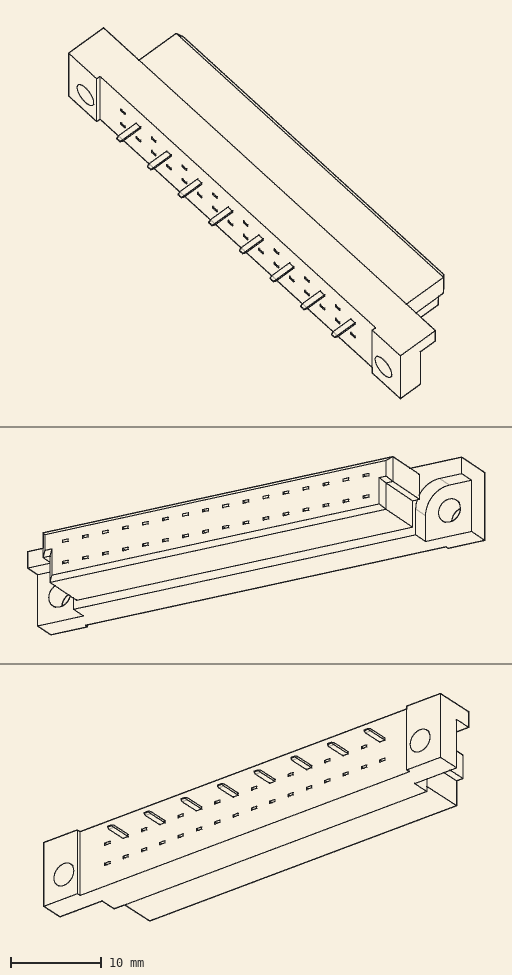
import cadquery as cq


LENGTH = 55.0
HEIGHT = 8.1
FLANGE_DEPTH = 5.15
PAD_LENGTH = 4.7
PAD_STEP = 0.5

HOLE_DIAMETER = 2.75
HOLE_INSET = 2.8
HOLE_HEIGHT = 3.1
NOTCH_RADIUS = 3.0
NOTCH_DEPTH = 2.2

PLUG_LENGTH = 44.35
PLUG_DEPTH = 6.5
PLUG_BOTTOM = 1.0
PLUG_TOP = HEIGHT - PLUG_BOTTOM
SHOULDER_HEIGHT = 4.1
SHOULDER_STEP = 0.9
PLUG_CHAMFER = 0.55

COLUMNS = 16
GRID_LENGTH = 38.1
PITCH = GRID_LENGTH / (COLUMNS - 1)
CONTACT_WIDTH = 0.7
CONTACT_THICKNESS = 0.3

PIN_PROJECTION = 2.9
PIN_TIP_LENGTH = 0.35
PIN_TIP_INSET = 0.08

MID_X = LENGTH / 2
PLUG_BACK = FLANGE_DEPTH + PLUG_DEPTH
LOWER_ROW = HEIGHT / 2 - PITCH / 2
UPPER_ROW = HEIGHT / 2 + PITCH / 2
FIRST_COLUMN = MID_X - GRID_LENGTH / 2
COLUMN_XS = [FIRST_COLUMN + i * PITCH for i in range(COLUMNS)]
PIN_XS = COLUMN_XS[1::2]


def box(x0, x1, y0, y1, z0, z1):
    """Box between opposite corners."""
    return cq.Workplane("XY").box(x1 - x0, y1 - y0, z1 - z0, centered=False).translate((x0, y0, z0))


def make_flange():
    """Bar with its front face set back between the end pads."""
    bar = box(0, LENGTH, 0, FLANGE_DEPTH, 0, HEIGHT)
    relief = box(PAD_LENGTH, LENGTH - PAD_LENGTH, 0, PAD_STEP, 0, HEIGHT)
    return bar.cut(relief)


def make_notch():
    """Notch at the left end: open to the end, the back and the underside, with a round inner corner."""
    wall_x = HOLE_INSET + NOTCH_RADIUS
    roof_z = HOLE_HEIGHT + NOTCH_RADIUS
    notch = box(0, wall_x, FLANGE_DEPTH - NOTCH_DEPTH, FLANGE_DEPTH, 0, roof_z)
    return notch.edges("|Y and >X and >Z").fillet(NOTCH_RADIUS)


def make_plug():
    """Stepped block with a chamfered back face."""
    half = PLUG_LENGTH / 2
    low_half = half - SHOULDER_STEP
    outline = [
        (MID_X - half, PLUG_TOP),
        (MID_X - half, SHOULDER_HEIGHT),
        (MID_X - low_half, SHOULDER_HEIGHT),
        (MID_X - low_half, PLUG_BOTTOM),
        (MID_X + low_half, PLUG_BOTTOM),
        (MID_X + low_half, SHOULDER_HEIGHT),
        (MID_X + half, SHOULDER_HEIGHT),
        (MID_X + half, PLUG_TOP),
    ]
    root = cq.Workplane("XZ", origin=(0, FLANGE_DEPTH, 0))
    plug = root.polyline(outline).close().extrude(-PLUG_DEPTH)
    return plug.faces(">Y").chamfer(PLUG_CHAMFER)


def contact_bar(x, z, y0, y1):
    """Flat bar along Y, centred on one place of the contact grid."""
    half_w = CONTACT_WIDTH / 2
    half_t = CONTACT_THICKNESS / 2
    return box(x - half_w, x + half_w, y0, y1, z - half_t, z + half_t)


def make_housing():
    """Flange and plug in one piece, with mounting holes and contact slots right through."""
    body = make_flange()
    notch = make_notch()
    body = body.cut(notch).cut(notch.mirror("YZ", (MID_X, 0, 0)))
    body = body.union(make_plug())
    for x in (HOLE_INSET, LENGTH - HOLE_INSET):
        hole = cq.Workplane("XZ").center(x, HOLE_HEIGHT).circle(HOLE_DIAMETER / 2).extrude(-FLANGE_DEPTH)
        body = body.cut(hole)
    for x in COLUMN_XS:
        for z in (LOWER_ROW, UPPER_ROW):
            body = body.cut(contact_bar(x, z, PAD_STEP, PLUG_BACK))
    return body


def make_pin(x):
    """Pin filling its slot, with a front tip that tapers on all four sides."""
    tip_y = PAD_STEP - PIN_PROJECTION
    shank = contact_bar(x, UPPER_ROW, tip_y + PIN_TIP_LENGTH, PLUG_BACK)
    tip = (
        cq.Workplane("XZ", origin=(x, tip_y, UPPER_ROW))
        .rect(CONTACT_WIDTH - 2 * PIN_TIP_INSET, CONTACT_THICKNESS - 2 * PIN_TIP_INSET)
        .workplane(offset=-PIN_TIP_LENGTH)
        .rect(CONTACT_WIDTH, CONTACT_THICKNESS)
        .loft()
    )
    return shank.union(tip)


housing = make_housing()
pins = [make_pin(x) for x in PIN_XS]

result = cq.Compound.makeCompound([housing.val(), *[pin.val() for pin in pins]])